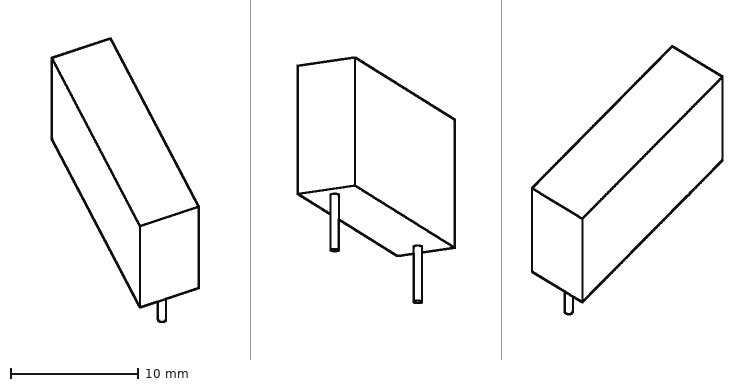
import cadquery as cq

body_length = 18.01
body_width = 5.0
body_height = 10.57
total_height = 15.11

lead_diameter = 0.67
lead_spacing = 15.0
lead_length = total_height - body_height


def make_body():
    """Rectangular body standing on the plane Z = 0, centred in X and Y."""
    return cq.Workplane("XY").box(body_length, body_width, body_height, centered=(True, True, False))


def make_lead(x_position):
    """Straight round lead hanging from the underside of the body."""
    return cq.Workplane("XY").center(x_position, 0).circle(lead_diameter / 2).extrude(-lead_length)


body = make_body()
leads = [make_lead(side * lead_spacing / 2) for side in (-1, 1)]

result = cq.Compound.makeCompound([body.val(), *[lead.val() for lead in leads]])